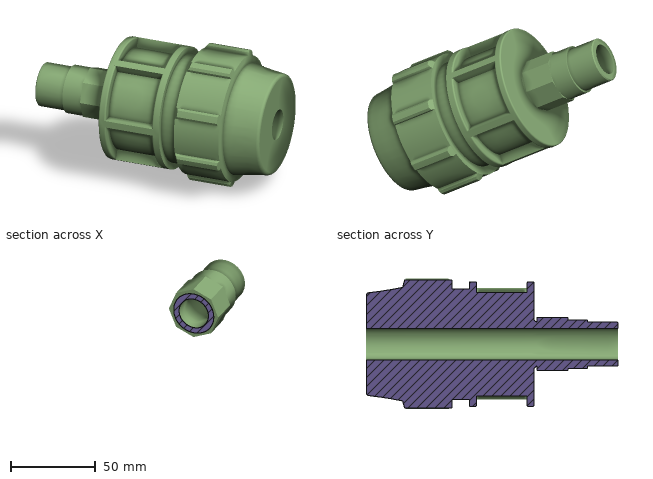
import cadquery as cq

pipe_end = 0.0
pipe_step = 18.0
octagon_start = 29.7
octagon_end = 48.1
collar_start = 49.6
window_start = 54.1
window_end = 83.6
collar_end = 88.0
nut_start = 98.0
nut_rim = 126.4
sleeve_start = 127.5
total_length = 149.0

bore_radius = 18.5 / 2
pipe_radius = 26.4 / 2
step_radius = 29.0 / 2
octagon_radius = 15.8
neck_small_radius = 13.0
neck_large_radius = 14.3
collar_radius = 73.8 / 2
window_floor_radius = 30.7
body_radius = 65.5 / 2
nut_radius = 38.0
sleeve_start_radius = 33.7
sleeve_end_radius = 30.4

pipe_chamfer = 0.6
collar_fillet = 0.9
sleeve_fillet = 1.8
sleeve_sag = 0.3

bar_count = 6
bar_width = 4.2

rib_count = 8
rib_tip_radius = 41.0
rib_side_radius = 39.6
rib_tip_width = 3.9
rib_width = 6.4
rib_lead_in = 2.1
rib_root_depth = 2.2


def disc(start, end, radius):
    """Solid cylinder on the X axis between two stations."""
    return cq.Workplane("YZ").workplane(offset=start).circle(radius).extrude(end - start)


def turned(profile):
    """Solid of revolution from an open (x, radius) profile closed along the X axis."""
    first_x = profile[0][0]
    last_x = profile[-1][0]
    outline = [(first_x, 0), *profile, (last_x, 0)]
    return cq.Workplane("XY").polyline(outline).close().revolve(360, (0, 0, 0), (1, 0, 0))


def ring(solid, count, first_angle):
    """Evenly spaced copies of a solid around the X axis."""
    copies = cq.Workplane("XY")
    for index in range(count):
        angle = first_angle + index * 360 / count
        copies = copies.add(solid.rotate((0, 0, 0), (1, 0, 0), angle))
    return copies.combine()


def make_spigot():
    """Stepped pipe end, octagonal grip and the conical neck behind it."""
    pipe = disc(pipe_end, pipe_step, pipe_radius).faces("<X").chamfer(pipe_chamfer)
    step = disc(pipe_step, octagon_start, step_radius)
    octagon = (
        cq.Workplane("YZ")
        .workplane(offset=octagon_start)
        .polygon(8, 2 * octagon_radius)
        .extrude(octagon_end - octagon_start)
    )
    neck = turned([(octagon_end, neck_small_radius), (collar_start, neck_large_radius)])
    return pipe.union(step).union(octagon).union(neck)


def make_collar():
    """Two flanges joined by lengthwise bars that frame recessed windows."""
    front_flange = disc(collar_start, window_start, collar_radius).edges().fillet(collar_fillet)
    rear_flange = disc(window_end, collar_end, collar_radius).faces("<X").edges().fillet(collar_fillet)
    floor = disc(window_start, window_end, window_floor_radius)

    bar_start = window_start - collar_fillet
    bar_end = window_end + collar_fillet
    bar = (
        cq.Workplane("XY")
        .box(bar_end - bar_start, collar_radius, bar_width, centered=(False, False, True))
        .translate((bar_start, 0, 0))
    )
    bars = ring(bar, bar_count, 0).intersect(disc(bar_start, bar_end, collar_radius))
    return front_flange.union(rear_flange).union(floor).union(bars)


def make_nut():
    """Round nut with a conical rear shoulder and chamfered grip ribs."""
    barrel = disc(nut_start, sleeve_start, nut_radius)

    shoulder_slope = (sleeve_start - nut_rim) / (nut_radius - sleeve_start_radius)
    rib_tip_end = nut_rim - (rib_tip_radius - nut_radius) * shoulder_slope
    envelope = turned(
        [
            (nut_start, nut_radius),
            (nut_start + rib_lead_in, rib_tip_radius),
            (rib_tip_end, rib_tip_radius),
            (sleeve_start, sleeve_start_radius),
        ]
    )
    half_tip = rib_tip_width / 2
    half_width = rib_width / 2
    root_radius = nut_radius - rib_root_depth
    rib = (
        cq.Workplane("YZ")
        .workplane(offset=nut_start)
        .moveTo(root_radius, -half_width)
        .lineTo(rib_side_radius, -half_width)
        .lineTo(rib_tip_radius, -half_tip)
        .lineTo(rib_tip_radius, half_tip)
        .lineTo(rib_side_radius, half_width)
        .lineTo(root_radius, half_width)
        .close()
        .extrude(sleeve_start - nut_start)
    )
    return barrel.union(ring(rib, rib_count, 180 / rib_count)).intersect(envelope)


def make_sleeve():
    """Slightly hollow-curved taper behind the nut, rounded at its open end."""
    middle_x = (sleeve_start + total_length) / 2
    middle_radius = (sleeve_start_radius + sleeve_end_radius) / 2 - sleeve_sag
    return (
        cq.Workplane("XY")
        .moveTo(sleeve_start, 0)
        .lineTo(sleeve_start, sleeve_start_radius)
        .threePointArc((middle_x, middle_radius), (total_length, sleeve_end_radius))
        .lineTo(total_length, 0)
        .close()
        .revolve(360, (0, 0, 0), (1, 0, 0))
        .faces(">X")
        .edges()
        .fillet(sleeve_fillet)
    )


body = disc(collar_end, nut_start, body_radius)
bore = disc(pipe_end, total_length, bore_radius)

result = (
    make_spigot()
    .union(make_collar())
    .union(body)
    .union(make_nut())
    .union(make_sleeve())
    .cut(bore)
)